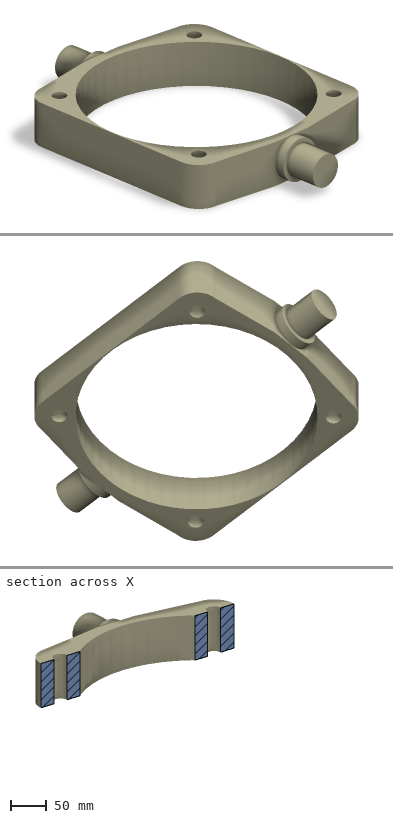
import cadquery as cq

height = 68.0
bore_diameter = 337.0
hole_offset = 135.0
hole_diameter = 22.0
corner_radius = 35.0
half_depth = hole_offset + corner_radius

total_length = 500.0
shaft_diameter = 50.0
collar_diameter = 65.0
collar_span = 400.0
pad_span = 370.0
pad_width = collar_diameter


def make_body():
    """Plate with rounded corners and sides sloping out to the trunnion pads."""
    half_pad = pad_span / 2
    pads = (
        cq.Workplane("XY")
        .polyline([
            (half_pad, -pad_width / 2),
            (half_pad, pad_width / 2),
            (half_depth, hole_offset),
            (-half_depth, hole_offset),
            (-half_pad, pad_width / 2),
            (-half_pad, -pad_width / 2),
            (-half_depth, -hole_offset),
            (half_depth, -hole_offset),
        ])
        .close()
        .extrude(height / 2, both=True)
    )
    square = (
        cq.Workplane("XY")
        .rect(2 * half_depth, 2 * half_depth)
        .extrude(height / 2, both=True)
        .edges("|Z")
        .fillet(corner_radius)
    )
    return square.union(pads)


def make_trunnion_rod(diameter, length):
    """Cylinder along X, centred on the ring."""
    return cq.Workplane("YZ").circle(diameter / 2).extrude(length / 2, both=True)


collars = make_trunnion_rod(collar_diameter, collar_span)
shafts = make_trunnion_rod(shaft_diameter, total_length)
bore = cq.Workplane("XY", origin=(0, 0, -height / 2)).circle(bore_diameter / 2).extrude(height)
bolt_holes = (
    cq.Workplane("XY", origin=(0, 0, -height / 2))
    .rect(2 * hole_offset, 2 * hole_offset, forConstruction=True)
    .vertices()
    .circle(hole_diameter / 2)
    .extrude(height)
)

result = make_body().union(collars).union(shafts).cut(bore).cut(bolt_holes)